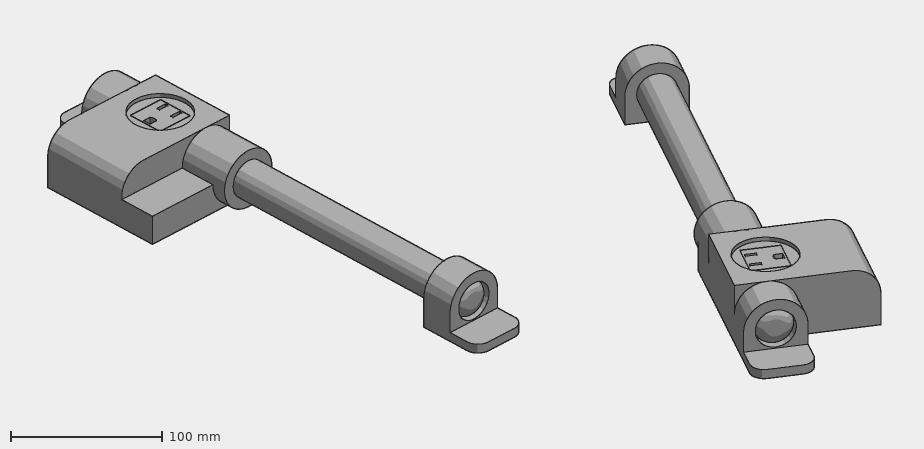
import cadquery as cq

total_length = 400.0
total_depth = 100.0
total_height = 44.0

axis_radius = total_height / 2
axis_y = -axis_radius
axis_z = axis_radius
rod_radius = 14.0
rod_end_fillet = 8.0

foot_length = 26.0
foot_thickness = 7.0
foot_corner_radius = 10.0
bracket_length = 25.0

housing_left = -total_length / 2 + foot_length + bracket_length
tall_block_length = 70.0
tall_block_fillet = 20.0
low_block_length = 99.0
low_block_height = axis_z
sleeve_length = 110.0

socket_x = housing_left + tall_block_length / 2
socket_y = -30.0
socket_radius = 22.75
socket_depth = 3.0
face_plate_size = 28.0
face_plate_rise = 0.3
blade_slot_width = 2.4
blade_slot_length = 8.0
blade_slot_spacing = 13.0
ground_hole_width = 6.0
ground_hole_length = 7.0
ground_hole_arc_rise = 1.0
contact_margin = 1.6
contact_depth = 8.0


def block(left, length, depth, height):
    """Box standing on the base with its back face on Y = 0."""
    return cq.Workplane("XY").box(length, depth, height, centered=False).translate((left, -depth, 0))


def axis_cylinder(left, length, radius):
    """Cylinder along X on the rod axis."""
    return cq.Workplane("YZ", origin=(left, axis_y, axis_z)).circle(radius).extrude(length)


def left_bracket():
    """Arched bracket with a bore for the rod and a flat rounded mounting foot."""
    foot_left = -total_length / 2
    bracket_left = foot_left + foot_length
    width = 2 * axis_radius
    foot = block(foot_left, foot_length + bracket_length, width, foot_thickness)
    foot = foot.edges("|Z and <X").fillet(foot_corner_radius)
    pedestal = block(bracket_left, bracket_length, width, axis_z)
    arch = axis_cylinder(bracket_left, bracket_length, axis_radius)
    bore = axis_cylinder(bracket_left, bracket_length, rod_radius)
    return foot.union(pedestal).union(arch).cut(bore)


def rod():
    """Rod running through both brackets, rounded at each end."""
    length = total_length - 2 * foot_length
    return axis_cylinder(-length / 2, length, rod_radius).edges().fillet(rod_end_fillet)


def housing():
    """Tall block with a rounded front edge, a lower block beside it and a sleeve for the rod."""
    tall = block(housing_left, tall_block_length, total_depth, total_height)
    tall = tall.edges("|X and >Z and <Y").fillet(tall_block_fillet)
    low = block(housing_left, low_block_length, total_depth, low_block_height)
    sleeve = axis_cylinder(housing_left, sleeve_length, axis_radius)
    return tall.union(low).union(sleeve)


def socket_plane(height):
    return cq.Workplane("XY", origin=(socket_x, socket_y, height))


def cut_socket(body):
    """Round recess with a square face plate holding two blade slots and a ground hole."""
    floor_z = total_height - socket_depth
    plate_z = floor_z + face_plate_rise
    contact_limit = face_plate_size / 2 - contact_margin

    recess = socket_plane(floor_z).circle(socket_radius).extrude(socket_depth)
    plate = socket_plane(floor_z).rect(face_plate_size, face_plate_size).extrude(face_plate_rise)

    half_spacing = blade_slot_spacing / 2
    slot_y = contact_limit - blade_slot_length / 2
    slots = (
        socket_plane(plate_z)
        .pushPoints([(-half_spacing, slot_y), (half_spacing, slot_y)])
        .rect(blade_slot_width, blade_slot_length)
        .extrude(-contact_depth)
    )

    half_ground = ground_hole_width / 2
    arc_top = ground_hole_length - contact_limit
    arc_start = arc_top - ground_hole_arc_rise
    ground_hole = (
        socket_plane(plate_z)
        .moveTo(-half_ground, -contact_limit)
        .lineTo(half_ground, -contact_limit)
        .lineTo(half_ground, arc_start)
        .threePointArc((0, arc_top), (-half_ground, arc_start))
        .close()
        .extrude(-contact_depth)
    )
    return body.cut(recess).union(plate).cut(slots).cut(ground_hole)


bracket = left_bracket()
brackets = bracket.union(bracket.mirror("YZ"))
result = cut_socket(brackets.union(housing()).union(rod()))